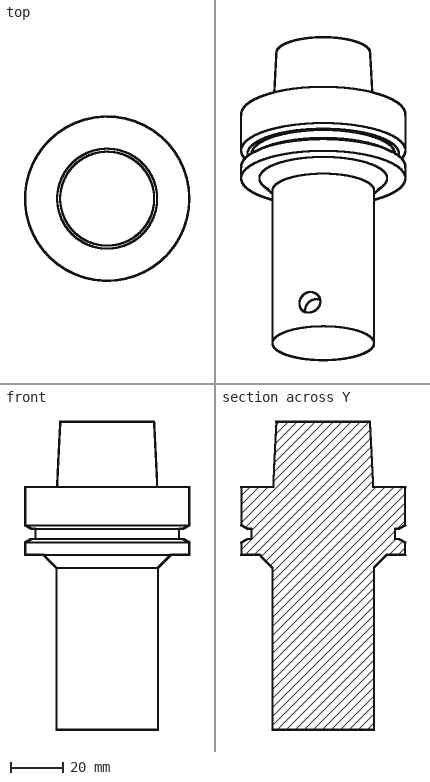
import cadquery as cq


shank_diameter = 38.3
shank_tip_diameter = 36.0
shank_height = 25.0
shank_land_height = 2.2

flange_diameter = 63.0
flange_thickness = 26.0
groove_diameter = 55.0
groove_depth_below_face = 18.0
groove_floor_width = 3.75
groove_lip_diameter = 58.1
groove_lip_height = 1.4

body_diameter = 39.0
body_bottom = -93.0
neck_diameter = 49.0
neck_height = (neck_diameter - body_diameter) / 2

screw_hole_diameter = 8.3
screw_hole_depth = 8.5
screw_hole_height = 10.0


def make_holder():
    """Revolve the half section of the whole holder about Z."""
    groove_top = -groove_depth_below_face + groove_floor_width / 2
    groove_bottom = -groove_depth_below_face - groove_floor_width / 2
    neck_bottom = -flange_thickness - neck_height

    diameters_and_heights = [
        (0, shank_height),
        (shank_tip_diameter, shank_height),
        (shank_diameter, shank_land_height),
        (shank_diameter, 0),
        (flange_diameter, 0),
        (flange_diameter, groove_top + groove_lip_height),
        (groove_lip_diameter, groove_top),
        (groove_diameter, groove_top),
        (groove_diameter, groove_bottom),
        (groove_lip_diameter, groove_bottom),
        (flange_diameter, groove_bottom - groove_lip_height),
        (flange_diameter, -flange_thickness),
        (neck_diameter, -flange_thickness),
        (body_diameter, neck_bottom),
        (body_diameter, body_bottom),
        (0, body_bottom),
    ]
    half_section = [(diameter / 2, height) for diameter, height in diameters_and_heights]
    return cq.Workplane("XZ").polyline(half_section).close().revolve(360, (0, 0, 0), (0, 1, 0))


def make_screw_hole():
    """Cylinder entering the body from +Y, to be cut away."""
    hole_floor = body_diameter / 2 - screw_hole_depth
    return (
        cq.Workplane("XZ", origin=(0, hole_floor, body_bottom + screw_hole_height))
        .circle(screw_hole_diameter / 2)
        .extrude(-screw_hole_depth)
    )


result = make_holder().cut(make_screw_hole())